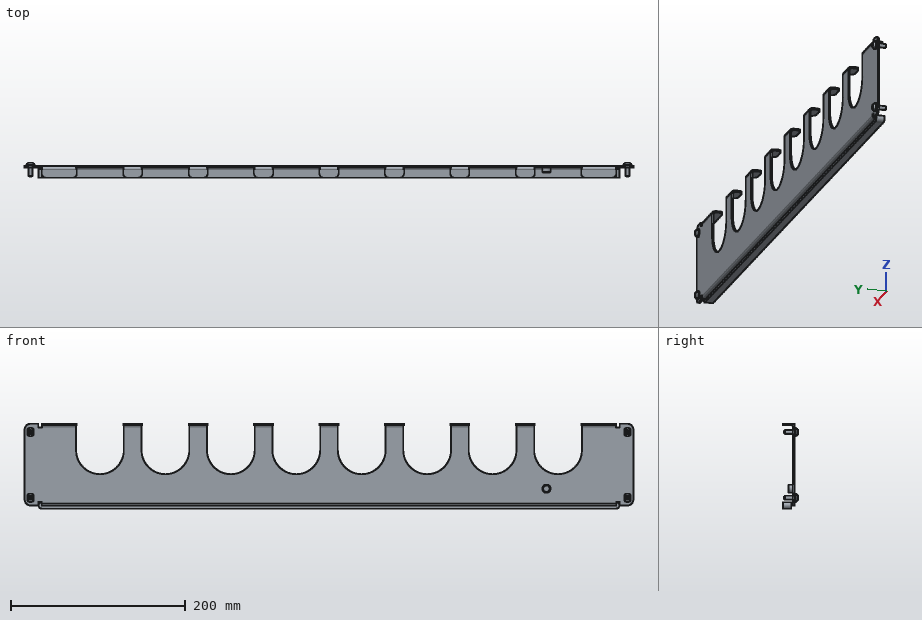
import cadquery as cq

panel_length = 698.0
overall_depth = 17.5
panel_top = 98.0
panel_bottom = 3.5
sheet = 2.0
ear_radius = 8.0
back_y = 5.0
front_y = back_y - sheet
flange_tip_y = -overall_depth / 2

bend_inner = 1.75
bend_outer = bend_inner + sheet
bend_end_y = back_y - bend_outer
relief_half = 333.0
relief_past_bend = 1.0
relief_depth = bend_outer + relief_past_bend

slot_count = 8
slot_row = 525.0
slot_pitch = slot_row / (slot_count - 1)
slot_radius = 27.0
slot_center_z = 67.0
mouth_half = 26.5
tab_corner = 5.0

screw_x = 342.0
screw_heights = (12.5, 88.0)
screw_places = [(x, z) for x in (-screw_x, screw_x) for z in screw_heights]
shank_radius = 2.45
shank_tip_y = -8.0
shank_chamfer = 1.5
head_radius = 5.0
head_back_y = overall_depth / 2
head_chamfer = 2.45
hole_width = 7.0
hole_height = 10.0

stud_x = 249.0
stud_z = 23.0
stud_radius = 4.75
stud_height = 5.5
stud_chamfer = 1.05

bar_length = 2 * relief_half
bar_height = 8.0
flange_half = (bar_length - bar_height) / 2


def box_between(x_range, y_range, z_range):
    """Box given by its two limits along each axis."""
    size = [high - low for low, high in (x_range, y_range, z_range)]
    corner = (x_range[0], y_range[0], z_range[0])
    return cq.Workplane("XY").box(*size, centered=False).translate(corner)


def panel_plate():
    """Flat plate with rounded ears, cut back along the top and bottom where the bends go."""
    half = panel_length / 2
    plate = box_between((-half, half), (front_y, back_y), (panel_bottom, panel_top))
    plate = plate.edges("|Y").fillet(ear_radius)
    for edge_z in (panel_bottom, panel_top):
        plate = plate.cut(
            box_between(
                (-relief_half, relief_half),
                (front_y, back_y),
                (edge_z - relief_depth, edge_z + relief_depth),
            )
        )
    return plate


def bent_flange(outer_z, inward):
    """Flange bent forward from the plate; inward is +1 or -1, from its outer face into the panel."""
    inner_z = outer_z + inward * sheet
    tangent_z = outer_z + inward * bend_outer
    root_z = outer_z + inward * relief_depth
    return (
        cq.Workplane("YZ")
        .moveTo(back_y, root_z)
        .lineTo(back_y, tangent_z)
        .radiusArc((bend_end_y, outer_z), inward * bend_outer)
        .lineTo(flange_tip_y, outer_z)
        .lineTo(flange_tip_y, inner_z)
        .lineTo(bend_end_y, inner_z)
        .radiusArc((front_y, tangent_z), -inward * bend_inner)
        .lineTo(front_y, root_z)
        .close()
        .extrude(flange_half, both=True)
    )


def cradle_slot(x):
    """Cutter for one U-shaped slot: full width in plate and bend, narrower in the flat flange."""
    y_range = (bend_end_y, back_y)
    round_end = (
        cq.Workplane("XZ", origin=(x, back_y, slot_center_z))
        .circle(slot_radius)
        .extrude(back_y - bend_end_y)
    )
    throat = box_between(
        (x - slot_radius, x + slot_radius), y_range, (slot_center_z, panel_top)
    )
    mouth = box_between(
        (x - mouth_half, x + mouth_half),
        (flange_tip_y, bend_end_y),
        (panel_top - sheet, panel_top),
    )
    return round_end.union(throat).union(mouth)


def screw_hole(x, z):
    """Cutter for one upright oblong screw hole."""
    return (
        cq.Workplane("XZ", origin=(x, back_y, z))
        .slot2D(hole_height, hole_width, 90)
        .extrude(sheet)
    )


def make_panel():
    panel = panel_plate()
    panel = panel.union(bent_flange(panel_top, -1))
    panel = panel.union(bent_flange(panel_bottom, 1))
    for i in range(slot_count):
        panel = panel.cut(cradle_slot(i * slot_pitch - slot_row / 2))
    panel = panel.edges("|Z").edges("<Y").edges(">Z").fillet(tab_corner)
    for x, z in screw_places:
        panel = panel.cut(screw_hole(x, z))
    return panel


def make_screw(x, z):
    """Screw with its head on the back of the panel and its shank pointing forward."""
    shank = (
        cq.Workplane("XZ", origin=(x, back_y, z))
        .circle(shank_radius)
        .extrude(back_y - shank_tip_y)
        .faces("<Y")
        .chamfer(shank_chamfer)
    )
    head = (
        cq.Workplane("XZ", origin=(x, head_back_y, z))
        .circle(head_radius)
        .extrude(head_back_y - back_y)
        .faces(">Y")
        .chamfer(head_chamfer)
    )
    return shank.union(head)


def make_stud():
    return (
        cq.Workplane("XZ", origin=(stud_x, front_y, stud_z))
        .circle(stud_radius)
        .extrude(stud_height)
        .faces("<Y")
        .chamfer(stud_chamfer)
    )


def make_bar():
    """Round-ended bar with a recess in its top that takes the lower flange."""
    bar = (
        cq.Workplane("XZ", origin=(0, bend_end_y, bar_height / 2))
        .slot2D(bar_length, bar_height)
        .extrude(bend_end_y - flange_tip_y)
    )
    recess = box_between(
        (-flange_half, flange_half),
        (flange_tip_y, bend_end_y),
        (panel_bottom, bar_height),
    )
    return bar.cut(recess)


panel = make_panel()
screws = [make_screw(x, z) for x, z in screw_places]
stud = make_stud()
bar = make_bar()

result = cq.Compound.makeCompound(
    [body.solids().val() for body in (panel, *screws, stud, bar)]
)